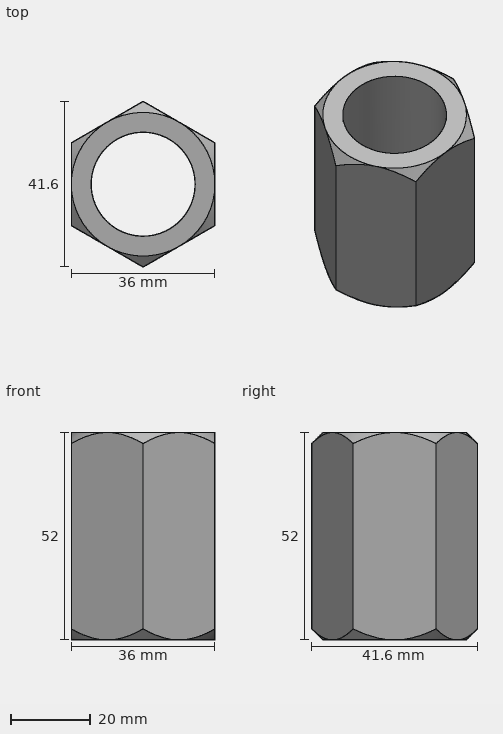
import cadquery as cq
import math

height = 52.0
across_flats = 36.0
bore_diameter = 26.0
chamfer_angle = 45.0

across_corners = across_flats / math.cos(math.radians(30))
corner_radius = across_corners / 2
face_radius = across_flats / 2
chamfer_height = (corner_radius - face_radius) * math.tan(math.radians(chamfer_angle))


def hex_prism():
    """Upright hexagonal bar with two corners on the Y axis."""
    return (
        cq.Workplane("XY")
        .polygon(6, across_corners)
        .extrude(height)
        .rotate((0, 0, 0), (0, 0, 1), 90)
    )


def chamfer_envelope():
    """Round bar with conical ends that trims the hexagon corners."""
    return (
        cq.Workplane("XZ")
        .moveTo(0, 0)
        .lineTo(face_radius, 0)
        .lineTo(corner_radius, chamfer_height)
        .lineTo(corner_radius, height - chamfer_height)
        .lineTo(face_radius, height)
        .lineTo(0, height)
        .close()
        .revolve(360, (0, 0, 0), (0, 1, 0))
    )


bore = cq.Workplane("XY").circle(bore_diameter / 2).extrude(height)

result = hex_prism().intersect(chamfer_envelope()).cut(bore)